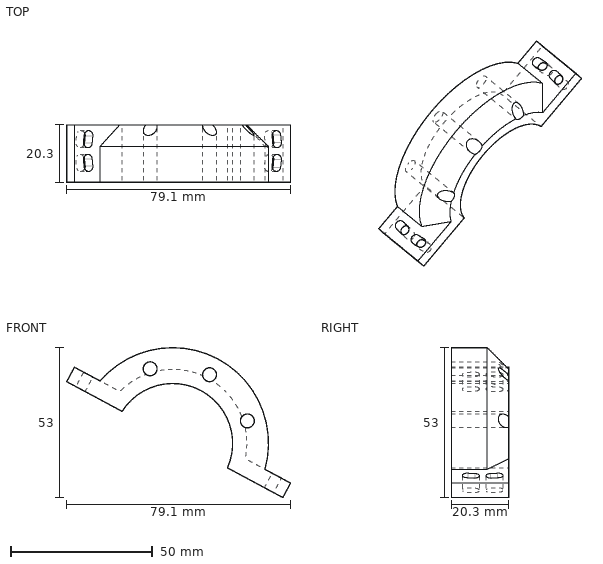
import cadquery as cq
import math

outer_radius = 33.85
inner_radius = 21.1
depth = 20.3
split_gap = 1.5
tilt = 28.2
overall_width = 79.1

flange_thickness = 5.85
flange_length = (
    overall_width - flange_thickness * math.sin(math.radians(tilt))
) / math.cos(math.radians(tilt))

cone_depth = 7.7

hole_diameter = 4.8
hole_circle_radius = 27.5
hole_angles = (45, 90, 135)

slot_width = 3.4
slot_length = 6.0
slot_end_distance = 5.5
slot_center_y = 11.1
slot_spacing = 8.4


def front_cylinder(radius, length):
    """Cylinder on the ring axis, running from the front face toward +Y."""
    return cq.Workplane("XZ").circle(radius).extrude(-length)


ring = front_cylinder(outer_radius, depth).faces(">Y").edges().chamfer(cone_depth)

flange_bar = cq.Workplane("XY").box(
    flange_length, depth, flange_thickness, centered=(True, False, False)
).translate((0, 0, split_gap))

below_split = cq.Workplane("XY").box(
    2 * outer_radius, depth, outer_radius + split_gap, centered=(True, False, False)
).translate((0, 0, -outer_radius))
body = ring.cut(below_split).union(flange_bar)
body = body.cut(front_cylinder(inner_radius, depth))

for angle in hole_angles:
    x = hole_circle_radius * math.cos(math.radians(angle))
    z = hole_circle_radius * math.sin(math.radians(angle))
    body = body.cut(front_cylinder(hole_diameter / 2, depth).translate((x, 0, z)))

slot_x = flange_length / 2 - slot_end_distance
half_spacing = slot_spacing / 2
slot_circle_radius = math.hypot(slot_x, half_spacing)
slot_angle = math.degrees(math.asin(half_spacing / slot_circle_radius))
slot_half_sweep = math.degrees((slot_length - slot_width) / 2 / slot_circle_radius)


def circle_point(radius, angle):
    """Point at a polar angle in degrees, measured from +X."""
    return (radius * math.cos(math.radians(angle)), radius * math.sin(math.radians(angle)))


def curved_slot(angle):
    """Round-ended slot on the slot circle, centred at the given angle."""
    inner = slot_circle_radius - slot_width / 2
    outer = slot_circle_radius + slot_width / 2
    start = angle - slot_half_sweep
    end = angle + slot_half_sweep
    cap = math.degrees(slot_width / 2 / slot_circle_radius)
    return (
        cq.Workplane("XY", origin=(0, slot_center_y, split_gap))
        .moveTo(*circle_point(outer, start))
        .threePointArc(circle_point(outer, angle), circle_point(outer, end))
        .threePointArc(circle_point(slot_circle_radius, end + cap), circle_point(inner, end))
        .threePointArc(circle_point(inner, angle), circle_point(inner, start))
        .threePointArc(circle_point(slot_circle_radius, start - cap), circle_point(outer, start))
        .close()
        .extrude(flange_thickness)
    )


for angle in (slot_angle, 180 - slot_angle, 180 + slot_angle, -slot_angle):
    body = body.cut(curved_slot(angle))

result = body.rotate((0, 0, 0), (0, 1, 0), tilt)